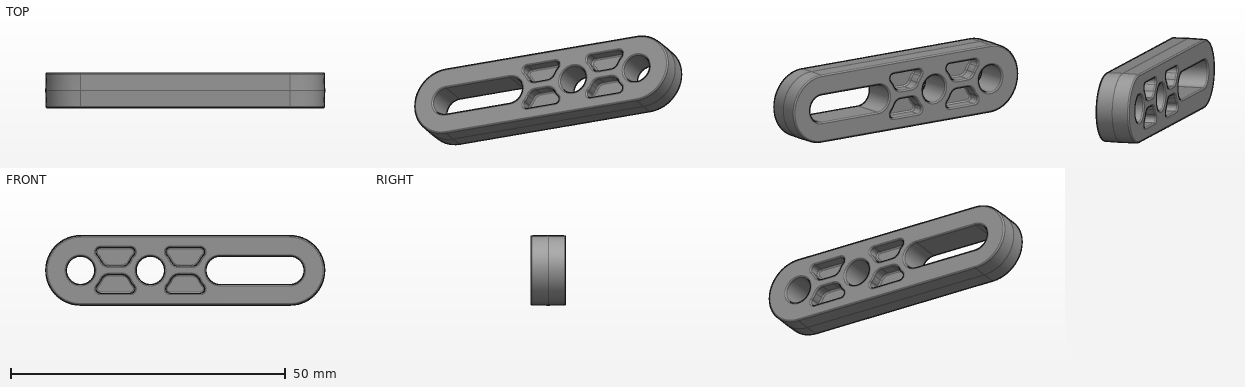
import cadquery as cq
import math

length = 50.8
height = 12.7
thickness = 6.35
half_thickness = thickness / 2
side_draft = 1.0
edge_fillet = 0.25

pitch = 12.7
hole_diameter = 5.15
hole_centers = (-1.5 * pitch, -0.5 * pitch)
slot_center = pitch
slot_travel = pitch

pocket_centers = (-pitch, 0)
pocket_depth = 2.4
pocket_inner_z = 0.75
pocket_outer_z = 4.15
pocket_flank_radius = 4.1
floor_fillet = 0.25
outer_corner_radius = 0.8
inner_corner_radius = 1.65


def xz_plane(y):
    """Workplane at depth y with X across, Z up and its normal towards -Y."""
    return cq.Workplane("XZ", origin=(0, y, 0))


def with_mirror_image(front):
    """Join a front half to its mirror image behind the mid-plane."""
    return front.union(front.mirror("XZ"))


def make_bar():
    front = xz_plane(0).slot2D(length, height).extrude(half_thickness, taper=side_draft)
    return with_mirror_image(front)


def rounded_corner(side_z, center_z, radius):
    """Arc in the right half of a pocket, joining its straight side to the flank smoothly.

    Returns the arc's end on the side, its middle and its end on the flank.
    """
    reach = pocket_flank_radius + radius
    center_x = pitch / 2 - math.sqrt(reach**2 - center_z**2)
    side_angle = math.copysign(math.pi / 2, side_z - center_z)
    flank_angle = math.atan2(-center_z, pitch / 2 - center_x)
    angles = (side_angle, (side_angle + flank_angle) / 2, flank_angle)
    return [(center_x + radius * math.cos(a), center_z + radius * math.sin(a)) for a in angles]


def mirror_x(point):
    return (-point[0], point[1])


def make_pocket_pair():
    """Blind pocket above the center line at X = 0, together with its twin in the back face."""
    outer_side, outer_middle, outer_flank = rounded_corner(
        pocket_outer_z, pocket_outer_z - outer_corner_radius, outer_corner_radius
    )
    inner_side, inner_middle, inner_flank = rounded_corner(
        pocket_inner_z, pocket_inner_z + inner_corner_radius, inner_corner_radius
    )
    flank_turn = (math.atan2(outer_flank[1], pitch / 2 - outer_flank[0])
                  + math.atan2(inner_flank[1], pitch / 2 - inner_flank[0])) / 2
    flank_middle = (
        pitch / 2 - pocket_flank_radius * math.cos(flank_turn),
        pocket_flank_radius * math.sin(flank_turn),
    )
    cavity = (
        xz_plane(-half_thickness)
        .moveTo(*mirror_x(outer_side))
        .lineTo(*outer_side)
        .threePointArc(outer_middle, outer_flank)
        .threePointArc(flank_middle, inner_flank)
        .threePointArc(inner_middle, inner_side)
        .lineTo(*mirror_x(inner_side))
        .threePointArc(mirror_x(inner_middle), mirror_x(inner_flank))
        .threePointArc(mirror_x(flank_middle), mirror_x(outer_flank))
        .threePointArc(mirror_x(outer_middle), mirror_x(outer_side))
        .close()
        .extrude(-pocket_depth)
    )
    cavity = cavity.faces(">Y").edges().fillet(floor_fillet)
    return with_mirror_image(cavity)


result = make_bar()

holes = (
    xz_plane(half_thickness)
    .pushPoints([(x, 0) for x in hole_centers])
    .circle(hole_diameter / 2)
    .extrude(thickness)
)
result = result.cut(holes)

slot_length = slot_travel + hole_diameter
slot = (
    xz_plane(half_thickness)
    .center(slot_center, 0)
    .slot2D(slot_length, hole_diameter)
    .extrude(thickness)
)
result = result.cut(slot)

upper_pockets = make_pocket_pair()
lower_pockets = upper_pockets.mirror("XY")
for x in pocket_centers:
    for pockets in (upper_pockets, lower_pockets):
        result = result.cut(pockets.translate((x, 0, 0)))

result = result.faces("<Y or >Y").edges().fillet(edge_fillet)